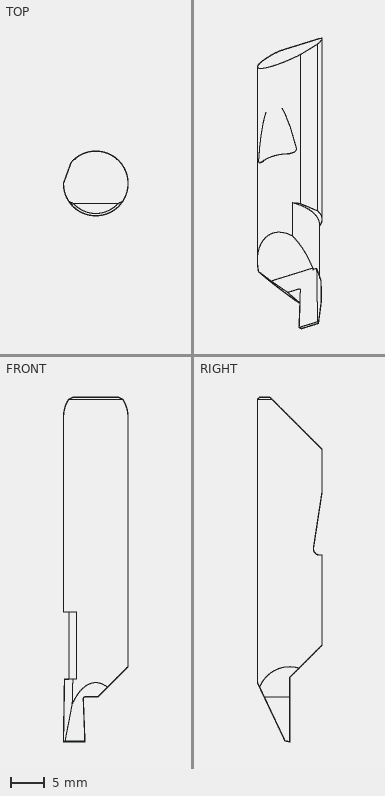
import cadquery as cq
import math

LENGTH = 50.8
DIAMETER = 9.55
RADIUS = DIAMETER / 2
OVERSIZE = 2 * DIAMETER

TOP_CHAMFER = 0.35
TOP_FLAT_EDGE_Y = -2.95

FLAT_END_ANGLE = 140.0

CLAMP_BOTTOM = 27.55
CLAMP_TOP = 36.85
CLAMP_DEPTH = 1.4
CLAMP_FILLET = 0.9

RECESS_BOTTOM = 9.25
RECESS_TOP = 19.1
RECESS_HALF_WIDTH = 3.85
RECESS_FLOOR_X = -3.95

BACK_SLOPE_START = 14.3
FRONT_SLOPE_START = 8.75
SIDE_SLOPE_START = 11.05

TIP_THICKNESS = 0.7
TIP_RISE = 0.15
TIP_SHOULDER_Z = 6.65
TIP_RIGHT_BOTTOM_X = -1.6
TIP_RIGHT_TOP_X = -1.85
TIP_SHOULDER_FILLET = 0.3
FLANK_TOP_X = -4.6
FLANK_RUN = 0.37


def prism_along_x(points):
    """Prism with a (Y, Z) outline, long enough to cross the body."""
    return cq.Workplane("YZ").polyline(points).close().extrude(OVERSIZE / 2, both=True)


def prism_along_y(points):
    """Prism with an (X, Z) outline, long enough to cross the body."""
    return cq.Workplane("XZ").polyline(points).close().extrude(OVERSIZE / 2, both=True)


def make_shank():
    return cq.Workplane("XY").circle(RADIUS).extrude(LENGTH).faces(">Z").chamfer(TOP_CHAMFER)


def top_slope():
    return prism_along_x([
        (TOP_FLAT_EDGE_Y, LENGTH),
        (TOP_FLAT_EDGE_Y + OVERSIZE, LENGTH - OVERSIZE),
        (TOP_FLAT_EDGE_Y + OVERSIZE, LENGTH),
    ])


def side_flat():
    angle = math.radians(FLAT_END_ANGLE)
    end = (RADIUS * math.cos(angle), RADIUS * math.sin(angle))
    return (
        cq.Workplane("XY", origin=(0, 0, RECESS_TOP))
        .polyline([(-RADIUS, 0), end, (-RADIUS, end[1])])
        .close()
        .extrude(LENGTH - RECESS_TOP)
    )


def clamping_notch():
    floor_y = RADIUS - CLAMP_DEPTH
    notch = prism_along_x([
        (RADIUS, CLAMP_TOP),
        (floor_y, CLAMP_BOTTOM),
        (RADIUS, CLAMP_BOTTOM),
    ])
    return notch.edges("|X").edges("<Y").fillet(CLAMP_FILLET)


def side_recess():
    edge_x = -math.sqrt(RADIUS**2 - RECESS_HALF_WIDTH**2)
    return (
        cq.Workplane("XY", origin=(0, 0, RECESS_BOTTOM))
        .moveTo(edge_x, -RECESS_HALF_WIDTH)
        .threePointArc((RECESS_FLOOR_X, 0), (edge_x, RECESS_HALF_WIDTH))
        .lineTo(-OVERSIZE, RECESS_HALF_WIDTH)
        .lineTo(-OVERSIZE, -RECESS_HALF_WIDTH)
        .close()
        .extrude(RECESS_TOP - RECESS_BOTTOM)
    )


def back_slope():
    """Leave only the front half below a 45 degree slope."""
    return prism_along_x([
        (RADIUS, BACK_SLOPE_START),
        (0, BACK_SLOPE_START - RADIUS),
        (0, 0),
        (RADIUS, 0),
    ])


def front_slope():
    """Front slope down to the tip, with the relieved bottom of the tip."""
    return prism_along_x([
        (-RADIUS, FRONT_SLOPE_START),
        (-TIP_THICKNESS, TIP_RISE),
        (0, 0),
        (-RADIUS, 0),
    ])


def side_slope():
    """45 degree slope on the +X side, down to the shoulder and tip."""
    shoulder_x = RADIUS - (SIDE_SLOPE_START - TIP_SHOULDER_Z)
    cutter = prism_along_y([
        (RADIUS, SIDE_SLOPE_START),
        (shoulder_x, TIP_SHOULDER_Z),
        (TIP_RIGHT_TOP_X, TIP_SHOULDER_Z),
        (TIP_RIGHT_BOTTOM_X, 0),
        (RADIUS, 0),
    ])
    return cutter.edges("|Y").edges("<X").fillet(TIP_SHOULDER_FILLET)


def tip_flank():
    """Relief flank of the tip, leaning slightly outwards to the bottom."""
    lean = RADIUS + FLANK_TOP_X
    shift = FLANK_RUN * RADIUS
    outline = [
        (-RADIUS, 0),
        (-RADIUS + shift, -RADIUS),
        (-OVERSIZE, -RADIUS),
        (-OVERSIZE, 0),
    ]
    return (
        cq.Workplane("XY")
        .polyline(outline)
        .close()
        .workplane(offset=RECESS_BOTTOM)
        .polyline([(x + lean, y) for x, y in outline])
        .close()
        .loft(ruled=True)
    )


CUTTERS = (
    top_slope,
    side_flat,
    clamping_notch,
    side_recess,
    back_slope,
    front_slope,
    side_slope,
    tip_flank,
)

result = make_shank()
for cutter in CUTTERS:
    result = result.cut(cutter())